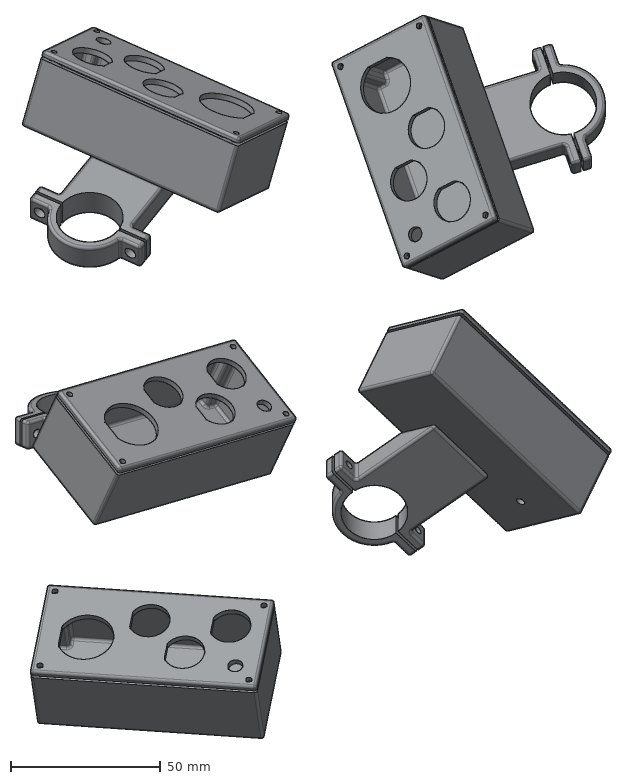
import cadquery as cq
import math


EDGE_RADIUS = 1.0

BOX_WIDTH = 77.1
BOX_DEPTH = 38.0
BOX_HEIGHT = 25.1
WALL = 2.0
LID_THICKNESS = 2.0
LID_GAP = 1.0
TILT = 30
BOX_BASE_Y = 39.7
BOX_BASE_Z = 0.8

SCREW_INSET = 3.0
SCREW_DIAMETER = 2.0
POST_SIDE = 6.0
POST_HOLE_DEPTH = 10.1

SWITCH_DIAMETER = 13.8
SWITCH_FLAT = 6.2
SWITCH_CENTERS = [(-25.7, -6.2), (-11.9, 6.2), (1.85, -6.2)]
SOCKET_DIAMETER = 18.95
SOCKET_FLAT = 8.6
SOCKET_CENTER = (22.1, 2.7)
LAMP_DIAMETER = 5.0
LAMP_CENTER = (-30.0, 10.5)

CABLE_DIAMETER = 3.0
CABLE_X = -26.6

CLAMP_X = 2.3
CLAMP_HEIGHT = 10.0
BORE_RADIUS = 11.15
CLAMP_WALL = 2.9
CLAMP_RADIUS = BORE_RADIUS + CLAMP_WALL
TAB_SPAN = 43.35
TAB_THICKNESS = 3.1
SPLIT_GAP = 0.9
BOLT_OFFSET = 17.7
CAP_BOLT_DIAMETER = 4.2
ARM_BOLT_DIAMETER = 3.0

tilt_angle = math.radians(TILT)
box_plane = cq.Plane(
    origin=(0, BOX_BASE_Y, BOX_BASE_Z),
    xDir=(1, 0, 0),
    normal=(0, math.sin(tilt_angle), math.cos(tilt_angle)),
)

screw_x = BOX_WIDTH / 2 - SCREW_INSET
screw_y = BOX_DEPTH / 2 - SCREW_INSET
screw_centers = [(sx * screw_x, sy * screw_y) for sx in (-1, 1) for sy in (-1, 1)]
bolt_centers = [(CLAMP_X + side * BOLT_OFFSET, CLAMP_HEIGHT / 2) for side in (-1, 1)]


def upright_block(width, depth, height, base=0.0):
    """Block centred on the local Z axis, standing on the given base height."""
    return cq.Workplane("XY", origin=(0, 0, base)).rect(width, depth).extrude(height)


def upright_pins(centers, diameter, height, base=0.0):
    """Upright cylinders at the given centres."""
    return cq.Workplane("XY", origin=(0, 0, base)).pushPoints(centers).circle(diameter / 2).extrude(height)


def placed_on_tilt(body):
    """Move a body from the local frame of the box to its tilted place."""
    return body.solids().val().located(cq.Location(box_plane))


def make_cavity():
    """Inside of the box: a rounded block with the four corner posts left standing."""
    cavity = upright_block(BOX_WIDTH - 2 * WALL, BOX_DEPTH - 2 * WALL, BOX_HEIGHT - WALL, WALL)
    post_x = (BOX_WIDTH - POST_SIDE) / 2
    post_y = (BOX_DEPTH - POST_SIDE) / 2
    posts = (
        cq.Workplane("XY")
        .rect(2 * post_x, 2 * post_y, forConstruction=True)
        .vertices()
        .rect(POST_SIDE, POST_SIDE)
        .extrude(BOX_HEIGHT)
    )
    return cavity.cut(posts).edges("|Z or <Z").fillet(EDGE_RADIUS)


def make_box():
    shell = upright_block(BOX_WIDTH, BOX_DEPTH, BOX_HEIGHT).edges("|Z or <Z").fillet(EDGE_RADIUS)
    screw_holes = upright_pins(screw_centers, SCREW_DIAMETER, POST_HOLE_DEPTH, BOX_HEIGHT - POST_HOLE_DEPTH)
    cable_hole = upright_pins([(CABLE_X, 0)], CABLE_DIAMETER, WALL)
    return placed_on_tilt(shell.cut(make_cavity()).cut(screw_holes).cut(cable_hole))


def flatted_opening(center, diameter, flat, base):
    """Round opening through the lid, cut straight at the given distance on its +X side."""
    x, y = center
    opening = upright_pins([center], diameter, LID_THICKNESS, base)
    keep = upright_block(diameter, diameter, LID_THICKNESS, base)
    return opening.intersect(keep.translate((x + flat - diameter / 2, y, 0)))


def make_lid():
    base = BOX_HEIGHT + LID_GAP
    lid = upright_block(BOX_WIDTH, BOX_DEPTH, LID_THICKNESS, base).edges("|Z or >Z").fillet(EDGE_RADIUS)
    lid = lid.cut(upright_pins(screw_centers, SCREW_DIAMETER, LID_THICKNESS, base))
    lid = lid.cut(upright_pins([LAMP_CENTER], LAMP_DIAMETER, LID_THICKNESS, base))
    for center in SWITCH_CENTERS:
        lid = lid.cut(flatted_opening(center, SWITCH_DIAMETER, SWITCH_FLAT, base))
    lid = lid.cut(flatted_opening(SOCKET_CENTER, SOCKET_DIAMETER, SOCKET_FLAT, base))
    return placed_on_tilt(lid)


def clamp_block(width, y_start, y_end):
    """Block of clamp height between two Y positions, centred on the clamp."""
    return (
        cq.Workplane("XY")
        .center(CLAMP_X, (y_start + y_end) / 2)
        .rect(width, y_end - y_start)
        .extrude(CLAMP_HEIGHT)
    )


def clamp_disc(radius):
    return cq.Workplane("XY").center(CLAMP_X, 0).circle(radius).extrude(CLAMP_HEIGHT)


def bolt_holes(diameter):
    """Bores along Y through both clamp tabs."""
    length = 2 * (TAB_THICKNESS + SPLIT_GAP)
    return (
        cq.Workplane("XZ", origin=(0, length / 2, 0))
        .pushPoints(bolt_centers)
        .circle(diameter / 2)
        .extrude(length)
    )


def make_arm():
    """Arm with half a clamp at one end, cut to the slope of the box underside at the other."""
    arm = clamp_block(2 * CLAMP_RADIUS, SPLIT_GAP, BOX_BASE_Y + BOX_DEPTH / 2)
    arm = arm.union(clamp_block(TAB_SPAN, SPLIT_GAP, SPLIT_GAP + TAB_THICKNESS))
    above_box_underside = cq.Workplane(box_plane).rect(BOX_WIDTH, 2 * BOX_DEPTH).extrude(2 * BOX_HEIGHT)
    arm = arm.cut(above_box_underside)
    arm = arm.edges("not <Y").fillet(EDGE_RADIUS)
    return arm.cut(clamp_disc(BORE_RADIUS)).cut(bolt_holes(ARM_BOLT_DIAMETER)).solids().val()


def make_cap():
    """Loose half of the clamp: a half ring with a bolt tab on each side."""
    half_disc = clamp_disc(CLAMP_RADIUS).intersect(clamp_block(2 * CLAMP_RADIUS, -CLAMP_RADIUS, 0))
    cap = half_disc.union(clamp_block(TAB_SPAN, -TAB_THICKNESS, 0))
    cap = cap.edges("not >Y").fillet(EDGE_RADIUS)
    return cap.cut(clamp_disc(BORE_RADIUS)).cut(bolt_holes(CAP_BOLT_DIAMETER)).solids().val()


box = make_box()
lid = make_lid()
arm = make_arm()
cap = make_cap()

result = cq.Compound.makeCompound([box, lid, arm, cap])